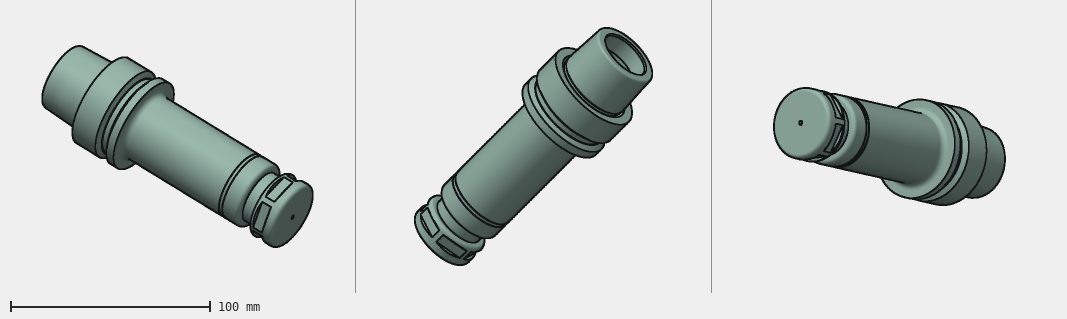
import cadquery as cq
import math


SHANK_LENGTH = 25.0
TAPER_END_X = -2.2
TAPER_LARGE_RADIUS = 19.1
TAPER_RATIO = 10.0
TIP_ROUND = 1.2
RELIEF_X = -1.2
RELIEF_RADIUS = 18.7

FLANGE_RADIUS = 25.0
FLANGE_WIDTH = 26.0
FACE_RECESS_RADIUS = 20.2
FACE_RECESS_DEPTH = 0.8
GROOVE_CENTER_X = 18.0
GROOVE_FLOOR_WIDTH = 3.4
GROOVE_FLOOR_RADIUS = 21.5
GROOVE_SIDE_RADIUS = 22.0
GROOVE_SIDE_ANGLE = 60.0

BODY_RADIUS = 18.0
BODY_END_X = 99.0
BODY_ROOT_FILLET = 3.0
END_ROUND = 2.0
BAND_START_X = 87.0
BAND_WIDTH = 2.1
BAND_DEPTH = 0.3
NECK_RADIUS = 14.0

NUT_START_X = 105.9
NUT_END_X = 120.0
NUT_RADIUS = 18.0
FLAT_COUNT = 6
FLAT_DISTANCE = 16.3
FLAT_START_X = 108.7
FLAT_END_X = 114.2
FLAT_CUT_CLEARANCE = 1.0
FLAT_WALL_ANGLE = 18.0

CLAMP_BORE_DIAMETER = 26.0
CLAMP_BORE_DEPTH = 22.0
UNDERCUT_DIAMETER = 29.0
UNDERCUT_START_DEPTH = 10.0
BORE_MOUTH_CHAMFER = 0.4
BORE_MOUTH_DEPTH = 1.0

COOLANT_DIAMETERS = (16.0, 6.5, 5.0, 4.5)
COOLANT_FIRST_STEP = 10.0
COOLANT_NEXT_STEP = 4.0
THROUGH_DIAMETER = 2.0


def cylinder(start_x, end_x, radius):
    """Cylinder about the X axis between two stations."""
    return cq.Workplane("YZ", origin=(start_x, 0, 0)).circle(radius).extrude(end_x - start_x)


def revolve_about_x(profile):
    """Solid of revolution of a closed XY profile about the X axis."""
    return profile.close().revolve(360, (0, 0, 0), (1, 0, 0))


def make_shank():
    tip_x = -SHANK_LENGTH
    tip_radius = TAPER_LARGE_RADIUS - (TAPER_END_X - tip_x) / (2 * TAPER_RATIO)
    taper = revolve_about_x(
        cq.Workplane("XY")
        .moveTo(tip_x, 0)
        .lineTo(tip_x, tip_radius)
        .lineTo(TAPER_END_X, TAPER_LARGE_RADIUS)
        .lineTo(RELIEF_X, TAPER_LARGE_RADIUS)
        .lineTo(RELIEF_X + TAPER_LARGE_RADIUS - RELIEF_RADIUS, RELIEF_RADIUS)
        .lineTo(FACE_RECESS_DEPTH, RELIEF_RADIUS)
        .lineTo(FACE_RECESS_DEPTH, 0)
    )
    return taper.faces("<X").edges().fillet(TIP_ROUND)


def make_flange_and_body():
    floor_start_x = GROOVE_CENTER_X - GROOVE_FLOOR_WIDTH / 2
    floor_end_x = GROOVE_CENTER_X + GROOVE_FLOOR_WIDTH / 2
    flare = (FLANGE_RADIUS - GROOVE_SIDE_RADIUS) / math.tan(math.radians(GROOVE_SIDE_ANGLE))
    band_end_x = BAND_START_X + BAND_WIDTH
    band_radius = BODY_RADIUS - BAND_DEPTH
    diagonal = math.sqrt(0.5)
    root_x = FLANGE_WIDTH + BODY_ROOT_FILLET
    root_radius = BODY_RADIUS + BODY_ROOT_FILLET
    end_x = BODY_END_X - END_ROUND
    end_radius = BODY_RADIUS - END_ROUND
    return revolve_about_x(
        cq.Workplane("XY")
        .moveTo(FACE_RECESS_DEPTH, 0)
        .lineTo(FACE_RECESS_DEPTH, RELIEF_RADIUS)
        .lineTo(0, FACE_RECESS_RADIUS)
        .lineTo(0, FLANGE_RADIUS)
        .lineTo(floor_start_x - flare, FLANGE_RADIUS)
        .lineTo(floor_start_x, GROOVE_SIDE_RADIUS)
        .lineTo(floor_start_x, GROOVE_FLOOR_RADIUS)
        .lineTo(floor_end_x, GROOVE_FLOOR_RADIUS)
        .lineTo(floor_end_x, GROOVE_SIDE_RADIUS)
        .lineTo(floor_end_x + flare, FLANGE_RADIUS)
        .lineTo(FLANGE_WIDTH, FLANGE_RADIUS)
        .lineTo(FLANGE_WIDTH, root_radius)
        .threePointArc(
            (root_x - BODY_ROOT_FILLET * diagonal, root_radius - BODY_ROOT_FILLET * diagonal),
            (root_x, BODY_RADIUS),
        )
        .lineTo(BAND_START_X, BODY_RADIUS)
        .lineTo(BAND_START_X, band_radius)
        .lineTo(band_end_x, band_radius)
        .lineTo(band_end_x, BODY_RADIUS)
        .lineTo(end_x, BODY_RADIUS)
        .threePointArc(
            (end_x + END_ROUND * diagonal, end_radius + END_ROUND * diagonal),
            (BODY_END_X, end_radius),
        )
        .lineTo(BODY_END_X, 0)
    )


def make_nut():
    nut = cylinder(NUT_START_X, NUT_END_X, NUT_RADIUS).edges().fillet(END_ROUND)
    depth = NUT_RADIUS - FLAT_DISTANCE + FLAT_CUT_CLEARANCE
    lean = depth * math.tan(math.radians(FLAT_WALL_ANGLE))
    top = FLAT_DISTANCE + depth
    flat_cutter = (
        cq.Workplane("XZ")
        .moveTo(FLAT_START_X, FLAT_DISTANCE)
        .lineTo(FLAT_END_X, FLAT_DISTANCE)
        .lineTo(FLAT_END_X + lean, top)
        .lineTo(FLAT_START_X - lean, top)
        .close()
        .extrude(NUT_RADIUS, both=True)
    )
    for index in range(FLAT_COUNT):
        angle = index * 360 / FLAT_COUNT
        nut = nut.cut(flat_cutter.rotate((0, 0, 0), (1, 0, 0), angle))
    return nut


def make_clamp_bore():
    tip_x = -SHANK_LENGTH
    floor_x = tip_x + CLAMP_BORE_DEPTH
    bore_radius = CLAMP_BORE_DIAMETER / 2
    undercut_radius = UNDERCUT_DIAMETER / 2
    return revolve_about_x(
        cq.Workplane("XY")
        .moveTo(tip_x, 0)
        .lineTo(tip_x, bore_radius + BORE_MOUTH_CHAMFER)
        .lineTo(tip_x + BORE_MOUTH_DEPTH, bore_radius)
        .lineTo(tip_x + UNDERCUT_START_DEPTH, bore_radius)
        .lineTo(tip_x + UNDERCUT_START_DEPTH, undercut_radius)
        .lineTo(floor_x, undercut_radius)
        .lineTo(floor_x, 0)
    )


def make_coolant_bore():
    start_x = CLAMP_BORE_DEPTH - SHANK_LENGTH
    bore = cylinder(start_x, NUT_END_X, THROUGH_DIAMETER / 2)
    for index, diameter in enumerate(COOLANT_DIAMETERS):
        step_end_x = start_x + COOLANT_FIRST_STEP + index * COOLANT_NEXT_STEP
        bore = bore.union(cylinder(start_x, step_end_x, diameter / 2))
    return bore


neck = cylinder(BODY_END_X, NUT_START_X, NECK_RADIUS)
outside = make_shank().union(make_flange_and_body()).union(neck).union(make_nut())
result = outside.cut(make_clamp_bore()).cut(make_coolant_bore())